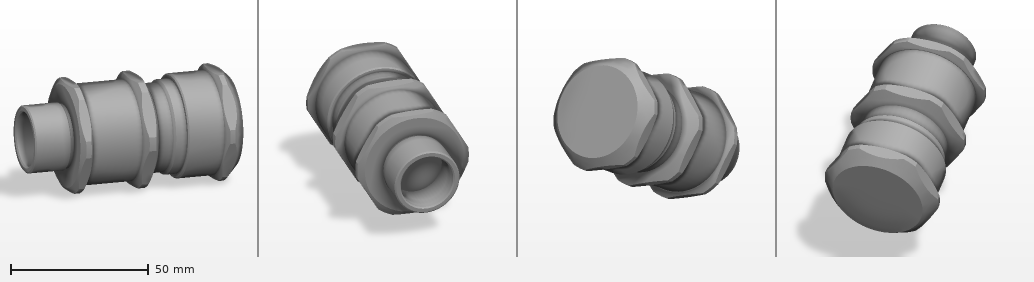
import cadquery as cq
import math

TOTAL_LENGTH = 78.6

ACROSS_FLATS = 40.0
NUT_CHAMFER_ANGLE = math.radians(30)
MAIN_CORNER_DIA = 43.5
ENTRY_CORNER_DIA = 43.0

CAP_FACE_DIA = 34.5
CAP_CONE_LENGTH = 4.6
CAP_HEX_LENGTH = 8.0
SLEEVE_DIA = 38.6
SLEEVE_END = 21.9
SLEEVE_CHAMFER = 0.5

COLLAR_DIA = 35.0
COLLAR_END = 27.0
NECK_DIA = 33.0
NECK_END = 32.1

MIDDLE_HEX_END = 39.5
BODY_DIA = 37.4

ENTRY_FACE_DIA = 38.0
ENTRY_HEX_LENGTH = 5.0
SPIGOT_DIA = 25.0
SPIGOT_LENGTH = 15.0
SPIGOT_CHAMFER = 0.5
RELIEF_DIA = 24.0
RELIEF_LENGTH = 1.0
BORE_DIA = 20.2
BORE_DEPTH = 13.5
BORE_CHAMFER = 0.5

ENTRY_HEX_END = TOTAL_LENGTH - SPIGOT_LENGTH
ENTRY_HEX_START = ENTRY_HEX_END - ENTRY_HEX_LENGTH


def revolve_profile(points):
    """Solid of revolution about Y from (radius, station) points, closed along the axis."""
    first_station = points[0][1]
    last_station = points[-1][1]
    outline = [(0, first_station)] + points + [(0, last_station)]
    profile = [(radius, -station) for radius, station in outline]
    return cq.Workplane("XY").polyline(profile).close().revolve(360, (0, 0, 0), (0, 1, 0))


def chamfer_length(corner_dia, face_dia):
    """Axial length of a hexagon end chamfer that narrows the corners to face_dia."""
    return (corner_dia - face_dia) / 2 * math.tan(NUT_CHAMFER_ANGLE)


def hexagon(start, end, corner_dia, rear_dia, rear_length, front_dia):
    """Hexagon with rounded corners and a conical chamfer at each end."""
    corner_radius = corner_dia / 2
    front_length = chamfer_length(corner_dia, front_dia)
    envelope = revolve_profile([
        (rear_dia / 2, start),
        (corner_radius, start + rear_length),
        (corner_radius, end - front_length),
        (front_dia / 2, end),
    ])
    across_corners = ACROSS_FLATS / math.cos(math.pi / 6)
    prism = (
        cq.Workplane("XZ")
        .workplane(offset=start)
        .polygon(6, across_corners)
        .extrude(end - start)
    )
    return prism.intersect(envelope)


def round_core():
    """All the plain round stretches, from the rear face to the spigot end."""
    spigot_radius = SPIGOT_DIA / 2
    relief_radius = RELIEF_DIA / 2
    relief_end = ENTRY_HEX_END + RELIEF_LENGTH
    collar_chamfer = (COLLAR_DIA - NECK_DIA) / 2
    return revolve_profile([
        (CAP_FACE_DIA / 2, 0),
        (CAP_FACE_DIA / 2, CAP_HEX_LENGTH),
        (SLEEVE_DIA / 2, CAP_HEX_LENGTH),
        (SLEEVE_DIA / 2, SLEEVE_END - SLEEVE_CHAMFER),
        (SLEEVE_DIA / 2 - SLEEVE_CHAMFER, SLEEVE_END),
        (COLLAR_DIA / 2, SLEEVE_END),
        (COLLAR_DIA / 2, COLLAR_END - collar_chamfer),
        (NECK_DIA / 2, COLLAR_END),
        (NECK_DIA / 2, MIDDLE_HEX_END),
        (BODY_DIA / 2, MIDDLE_HEX_END),
        (BODY_DIA / 2, ENTRY_HEX_START),
        (relief_radius, ENTRY_HEX_START),
        (relief_radius, relief_end),
        (spigot_radius, relief_end + spigot_radius - relief_radius),
        (spigot_radius, TOTAL_LENGTH - SPIGOT_CHAMFER),
        (spigot_radius - SPIGOT_CHAMFER, TOTAL_LENGTH),
    ])


def spigot_bore():
    """Blind bore in the spigot with a chamfered mouth."""
    bore_radius = BORE_DIA / 2
    return revolve_profile([
        (bore_radius, TOTAL_LENGTH - BORE_DEPTH),
        (bore_radius, TOTAL_LENGTH - BORE_CHAMFER),
        (bore_radius + BORE_CHAMFER, TOTAL_LENGTH),
    ])


cap_hexagon = hexagon(
    0, CAP_HEX_LENGTH, MAIN_CORNER_DIA, CAP_FACE_DIA, CAP_CONE_LENGTH, SLEEVE_DIA
)
middle_hexagon = hexagon(
    NECK_END, MIDDLE_HEX_END, MAIN_CORNER_DIA,
    NECK_DIA, chamfer_length(MAIN_CORNER_DIA, NECK_DIA), BODY_DIA,
)
entry_hexagon = hexagon(
    ENTRY_HEX_START, ENTRY_HEX_END, ENTRY_CORNER_DIA,
    ENTRY_FACE_DIA, chamfer_length(ENTRY_CORNER_DIA, ENTRY_FACE_DIA), ENTRY_FACE_DIA,
)

result = (
    round_core()
    .union(cap_hexagon)
    .union(middle_hexagon)
    .union(entry_hexagon)
    .cut(spigot_bore())
)